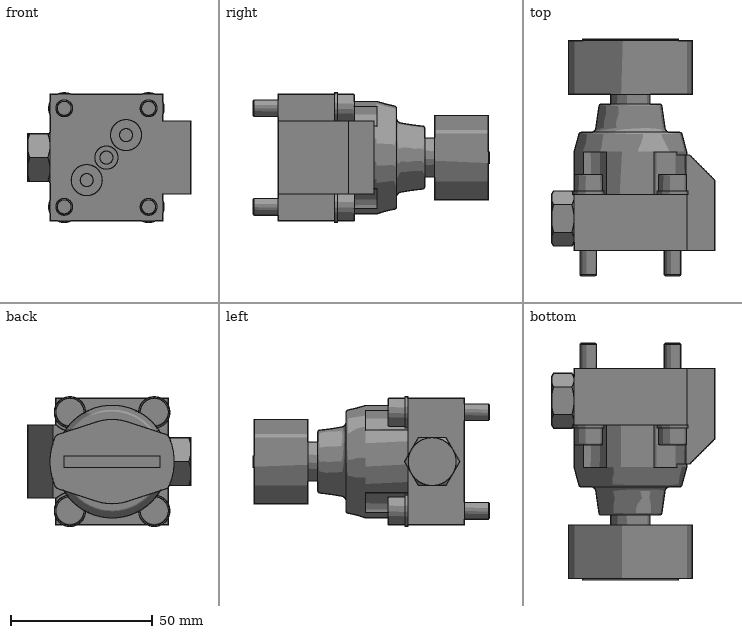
import cadquery as cq
import math


body_width = 40.0
body_length = 20.0
body_height = 44.9
block_reach = 10.0
block_length = 33.9
block_height = 25.95
block_chamfer = 9.0

port_bore = 4.6
port_bore_depth = 6.7
port_recess_depth = 1.0
outer_port_recess = 11.0
outer_port_x = 7.0
outer_port_z = 8.0
centre_port_recess = 8.2

screw_x = 14.95
screw_z = 17.5
screw_diameter = 6.0
screw_projection = 9.0
screw_tip_chamfer = 0.5
washer_diameter = 11.1
washer_thickness = 1.1
head_diameter = 10.0
head_height = 6.0
head_edge_radius = 0.4
screw_clearance_radius = 6.55

plug_flats = 17.0
plug_length = 8.0
plug_y = 11.4
plug_chamfer_angle = 30

bonnet_radius = body_width / 2
bonnet_barrel_end = 35.0
bonnet_shoulder = 42.0
bonnet_taper = 15
bonnet_edge_radius = 1.0
neck_end = 52.0
neck_base_radius = 12.5
neck_top_radius = 11.1
neck_edge_radius = 0.8
neck_root_radius = 1.7

spindle_radius = 7.0
knob_start = 55.4
knob_end = 74.5
knob_radius = 22.0
knob_half_height = 14.95
knob_crown_radius = 17.55
knob_flank_angle = 18
knob_corner_radius = 2.0
plate_width = 33.9
plate_height = 4.0
plate_thickness = 0.5


def rod(diameter, start, end, x=0, z=0):
    """Cylinder parallel to Y between two Y positions."""
    base = cq.Vector(x, start, z)
    return cq.Workplane(cq.Solid.makeCylinder(diameter / 2, end - start, base, cq.Vector(0, 1, 0)))


def slab(width, height, start, end):
    """Rectangular bar centred on the knob axis between two Y positions."""
    return cq.Workplane("XY").box(width, end - start, height).translate((0, (start + end) / 2, 0))


def rim(radius, y):
    """Selector for the circular edge of a given radius around the knob axis."""
    margin = 0.1
    inner = radius - margin
    outer = radius + margin
    around = cq.selectors.BoxSelector((-outer, y - margin, -outer), (outer, y + margin, outer), True)
    within = cq.selectors.BoxSelector((-inner, y - margin, -inner), (inner, y + margin, inner), True)
    return around - within


def make_side_block():
    tip_x = body_width / 2 + block_reach
    return (
        cq.Workplane("XY")
        .moveTo(0, 0)
        .lineTo(tip_x, 0)
        .lineTo(tip_x, block_length - block_chamfer)
        .lineTo(tip_x - block_chamfer, block_length)
        .lineTo(0, block_length)
        .close()
        .extrude(block_height / 2, both=True)
    )


def make_bonnet():
    """Straight barrel, and the tapered cap that closes it."""
    taper_length = bonnet_shoulder - bonnet_barrel_end
    shoulder_radius = bonnet_radius - taper_length * math.tan(math.radians(bonnet_taper))
    barrel = rod(2 * bonnet_radius, 0, bonnet_barrel_end)
    cap = (
        cq.Workplane("XY")
        .moveTo(0, bonnet_barrel_end)
        .lineTo(bonnet_radius, bonnet_barrel_end)
        .lineTo(shoulder_radius, bonnet_shoulder)
        .lineTo(neck_base_radius, bonnet_shoulder)
        .lineTo(neck_top_radius, neck_end)
        .lineTo(0, neck_end)
        .close()
        .revolve(360, (0, 0, 0), (0, 1, 0))
    )

    cap = cap.edges(rim(neck_base_radius, bonnet_shoulder)).fillet(neck_root_radius)
    cap = cap.edges(rim(neck_top_radius, neck_end)).fillet(neck_edge_radius)
    cap = cap.edges(rim(shoulder_radius, bonnet_shoulder)).fillet(bonnet_edge_radius)
    return barrel, cap


def make_knob():
    flank = math.radians(knob_flank_angle)
    peak = knob_half_height + knob_crown_radius * (1 / math.cos(flank) - 1)
    side = peak / math.tan(flank)
    grip = (
        cq.Workplane("XZ", origin=(0, knob_start, 0))
        .polyline([(side, 0), (0, peak), (-side, 0), (0, -peak)])
        .close()
        .extrude(knob_start - knob_end)
    )
    grip = grip.intersect(rod(2 * knob_radius, knob_start, knob_end))
    grip = grip.edges("|Y").edges("not(>Z or <Z)").fillet(knob_corner_radius)
    grip = grip.edges("|Y").edges(">Z or <Z").fillet(knob_crown_radius)
    plate = slab(plate_width, plate_height, knob_end, knob_end + plate_thickness)
    return grip.union(plate)


def make_plug():
    corner_diameter = plug_flats / math.cos(math.pi / 6)
    corner_overhang = (corner_diameter - plug_flats) / 2
    bevel_depth = corner_overhang * math.tan(math.radians(plug_chamfer_angle))
    start = cq.Workplane("YZ", origin=(-body_width / 2 - plug_length, plug_y, 0))
    hexagon = start.polygon(6, corner_diameter).extrude(plug_length)
    envelope = start.circle(corner_diameter / 2).extrude(plug_length)
    envelope = envelope.faces("<X or >X").edges().chamfer(bevel_depth, corner_overhang)
    return hexagon.intersect(envelope)


def make_screw(x, z):
    washer_end = body_length + washer_thickness
    head_end = washer_end + head_height
    shank = rod(screw_diameter, -screw_projection, body_length, x, z).faces("<Y").chamfer(screw_tip_chamfer)
    washer = rod(washer_diameter, body_length, washer_end, x, z)
    head = rod(head_diameter, washer_end, head_end, x, z).faces(">Y").edges().fillet(head_edge_radius)
    return shank.union(washer).union(head)


def make_port(recess_diameter, x, z):
    recess = rod(recess_diameter, 0, port_recess_depth, x, z)
    return recess.union(rod(port_bore, 0, port_bore_depth, x, z))


screw_places = [(x, z) for x in (-screw_x, screw_x) for z in (-screw_z, screw_z)]
barrel, cap = make_bonnet()

result = barrel.union(make_side_block())
for x, z in screw_places:
    result = result.cut(rod(2 * screw_clearance_radius, body_length, bonnet_barrel_end, x, z))

result = result.union(slab(body_width, body_height, 0, body_length))
result = result.union(cap)
result = result.union(rod(2 * spindle_radius, neck_end, knob_start))
result = result.union(make_knob())
result = result.union(make_plug())
for x, z in screw_places:
    result = result.union(make_screw(x, z))

result = result.cut(make_port(centre_port_recess, 0, 0))
for sign in (-1, 1):
    result = result.cut(make_port(outer_port_recess, sign * outer_port_x, sign * outer_port_z))